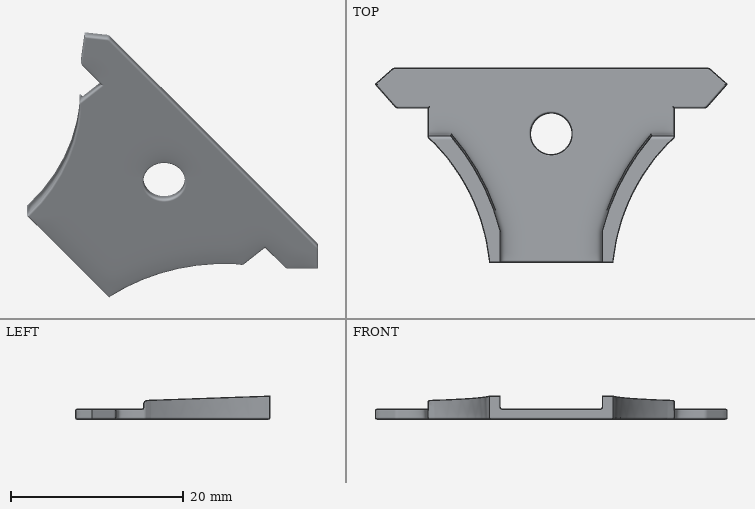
import cadquery as cq
import math

length = 40.85
depth = 22.55
height = 2.7
plate_thickness = 1.2
edge_radius = 0.2

tip_y = 20.65
bar_front_y = 17.9
bar_front_half = 17.95
bar_back_half = 18.3
bar_corner_radius = 0.6

shoulder = (14.3, 14.45)
shoulder_radius = 0.4
flank_back = (13.5, 13.75)
flank_middle = (9.5, 8.15)
flank_front = (7.2, 0.25)

wall_back_half = 11.68
wall_inner_middle = (8.15, 9.47)
wall_inner_front = (5.9, 3.6)
wall_slope_angle = 2.0
wall_back_radius = 0.5
wall_back_y = 14.65
wall_back_height = height - wall_back_y * math.tan(math.radians(wall_slope_angle))

hole_radius = 2.4
hole_y = 14.9


def mirror_in_yz(half):
    """The given right half joined to its mirror image."""
    return half.union(half.mirror("YZ")).clean()


def start_flank():
    """Sketch running from the front face along the right flank to the shoulder."""
    return (
        cq.Workplane("XY")
        .moveTo(flank_front[0], 0)
        .lineTo(*flank_front)
        .threePointArc(flank_middle, flank_back)
        .lineTo(*shoulder)
    )


def round_upright_edge(solid, corner, radius):
    """Round the upright edge standing at the given corner of the outline."""
    corner_edge = cq.selectors.NearestToPointSelector((*corner, plate_thickness / 2))
    return solid.edges("|Z").edges(corner_edge).fillet(radius)


def make_half_plate():
    """Right half of the flat plate, with its shoulder and the blunt corners of the bar rounded."""
    half_plate = (
        start_flank()
        .lineTo(shoulder[0], bar_front_y)
        .lineTo(bar_front_half, bar_front_y)
        .lineTo(length / 2, tip_y)
        .lineTo(bar_back_half, depth)
        .lineTo(0, depth)
        .lineTo(0, 0)
        .close()
        .extrude(plate_thickness)
    )
    half_plate = round_upright_edge(half_plate, shoulder, shoulder_radius)
    for corner in [(bar_front_half, bar_front_y), (bar_back_half, depth)]:
        half_plate = round_upright_edge(half_plate, corner, bar_corner_radius)
    return half_plate


def make_wall():
    """Right wall: a curved strip cut to a sloping top with a rounded back edge."""
    strip = (
        start_flank()
        .lineTo(shoulder[0], wall_back_y)
        .lineTo(wall_back_half, wall_back_y)
        .threePointArc(wall_inner_middle, wall_inner_front)
        .lineTo(wall_inner_front[0], 0)
        .close()
        .extrude(height)
    )
    strip = round_upright_edge(strip, shoulder, shoulder_radius)
    envelope = (
        cq.Workplane("YZ")
        .polyline([(0, 0), (wall_back_y, 0), (wall_back_y, wall_back_height), (0, height)])
        .close()
        .extrude(length / 2)
    )
    back_edge = cq.selectors.NearestToPointSelector((length / 4, wall_back_y, wall_back_height))
    return strip.intersect(envelope.edges(back_edge).fillet(wall_back_radius))


def round_edges(body):
    """Round the border of the plate's top face, the wall fronts and the underside together."""
    edges = body.faces("+Z").edges().vals()
    for x in (-wall_inner_front[0], wall_inner_front[0]):
        front_edge = cq.selectors.NearestToPointSelector((x, 0, (plate_thickness + height) / 2))
        edges += body.edges(front_edge).vals()
    edges += body.faces("<Z").edges().vals()
    return body.newObject(edges).fillet(edge_radius)


plate = mirror_in_yz(make_half_plate())
right_wall = make_wall()
hole = cq.Workplane("XY").center(0, hole_y).circle(hole_radius).extrude(plate_thickness)
body = plate.union(right_wall).union(right_wall.mirror("YZ")).cut(hole)

result = round_edges(body)